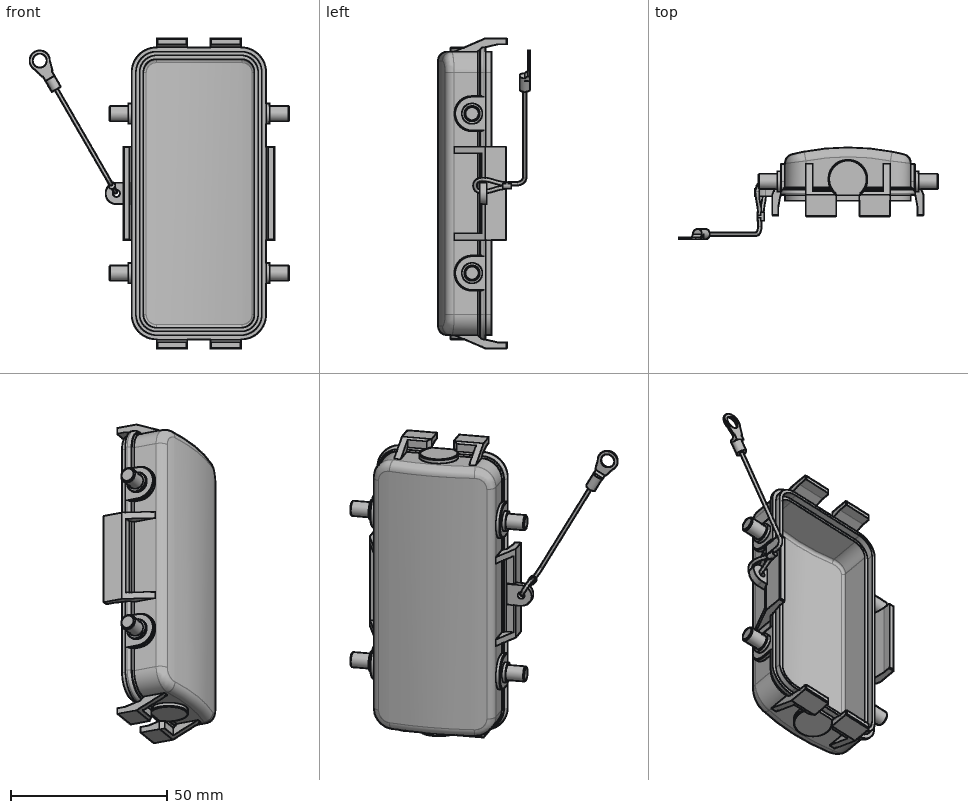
import cadquery as cq
import math

OVERLAP = 1.0

BODY_HALF_X = 20.1
BODY_HALF_Z = 45.3
CORNER_RADIUS = 6.6
CROWN_Y = 17.2
CROWN_RADIUS = 73.4
BACK_FILLET = 3.0
WALL = 2.4
POCKET_FILLET = 1.1
RIM_WALL = 1.2
SEAL_LEDGE_DEPTH = 2.2

FLANGE_OVERHANG = 1.4
FLANGE_FRONT_Y = 1.9
FLANGE_BACK_Y = 3.8
FLANGE_ROUND = 1.3
FLANGE_ROOT = 0.6
FLANGE_ROOT_CHAMFER = 0.5
FLANGE_HALF_X = BODY_HALF_X + FLANGE_OVERHANG
FLANGE_HALF_Z = BODY_HALF_Z + FLANGE_OVERHANG

PIN_Y = 6.2
PIN_Z = 25.5
PIN_RADIUS = 2.5
PIN_LEFT_X = -28.7
PIN_RIGHT_X = 29.0
PIN_CHAMFER = 0.4
COLLAR_RADIUS = 3.3
COLLAR_HALF_X = 22.6
SADDLE_RADIUS = 5.7
PAD_EDGE = 0.3

HOOK_TIP_THICKNESS = 2.0
HOOK_TIP_INNER_Y = -2.0
HOOK_SLOPE_START_Y = 2.0
HOOK_BACK_Y = 3.2
RIB_BACK_Y = 11.9
RIB_WIDTH = 2.2
HOOK_EDGE = 0.3
END_HOOK_TOP_Z = 49.6
END_HOOK_TIP_Y = -5.1
END_HOOK_INNER_X = 3.7
END_HOOK_OUTER_X = 13.5
SIDE_HOOK_TOP_X = 24.2
SIDE_HOOK_TIP_Y = -4.8
SIDE_HOOK_HALF_Z = 15.0
END_DISC_RADIUS = 6.2
END_DISC_Y = 6.9

LUG_X = -26.4
LUG_RADIUS = 3.5
LUG_HOLE_RADIUS = 1.1
LUG_FRONT_Y = 1.5
LUG_BACK_Y = 3.9

TETHER_ANGLE = 30.0
CABLE_RADIUS = 0.6
CABLE_Y = -10.6
CABLE_OFFSET = 3.6
CABLE_BEND = 2.5
LOOP_CENTER = 2.9
LOOP_RADIUS = 2.3
LOOP_Y = 3.1
CRIMP_RADIUS = 1.1
CRIMP_FRONT_Y = -6.3
CRIMP_BACK_Y = -3.6
RING_DISTANCE = 49.0
RING_RADIUS = 3.3
RING_HOLE_RADIUS = 2.2
TAG_THICKNESS = 0.7
TAG_NECK_WIDTH = 4.0
TAG_LENGTH = 4.8
BARREL_RADIUS = 1.7
BARREL_LENGTH = 5.1
BARREL_END = RING_DISTANCE - 5.6
BARREL_START = BARREL_END - BARREL_LENGTH


def rounded_block(half_x, half_z, radius, front_y, back_y):
    """Block with rounded corners in XZ, spanning front_y to back_y."""
    block = cq.Workplane("XZ", origin=(0, front_y, 0)).rect(2 * half_x, 2 * half_z)
    return block.extrude(front_y - back_y).edges("|Y").fillet(radius)


def crowned_block(half_x, half_z, radius, crown_y, crown_radius, back_fillet):
    """Rounded block from the rim plane to a back that is cylindrical about the Z direction."""
    block = rounded_block(half_x, half_z, radius, 0, crown_y + OVERLAP)
    crown = cq.Workplane("XY").center(0, crown_y - crown_radius).circle(crown_radius)
    block = block.intersect(crown.extrude(half_z + OVERLAP, both=True))
    return block.faces(">Y").edges().fillet(back_fillet)


def shell():
    """Solid crowned body with its flange."""
    body = crowned_block(BODY_HALF_X, BODY_HALF_Z, CORNER_RADIUS, CROWN_Y, CROWN_RADIUS, BACK_FILLET)
    flange = rounded_block(
        FLANGE_HALF_X, FLANGE_HALF_Z, CORNER_RADIUS + FLANGE_OVERHANG, FLANGE_FRONT_Y, FLANGE_BACK_Y
    )
    flange = flange.faces(">Y").edges().fillet(FLANGE_ROUND)
    root = rounded_block(
        BODY_HALF_X + FLANGE_ROOT,
        BODY_HALF_Z + FLANGE_ROOT,
        CORNER_RADIUS + FLANGE_ROOT,
        FLANGE_FRONT_Y,
        FLANGE_BACK_Y + FLANGE_ROOT,
    )
    root = root.faces(">Y").edges().chamfer(FLANGE_ROOT_CHAMFER)
    return body.union(flange).union(root)


def cavity():
    """Pocket that follows the shell, with a wider seal ledge at the rim."""
    pocket = crowned_block(
        BODY_HALF_X - WALL,
        BODY_HALF_Z - WALL,
        CORNER_RADIUS - WALL,
        CROWN_Y - WALL,
        CROWN_RADIUS - WALL,
        POCKET_FILLET,
    )
    ledge = rounded_block(
        BODY_HALF_X - RIM_WALL, BODY_HALF_Z - RIM_WALL, CORNER_RADIUS - RIM_WALL, 0, SEAL_LEDGE_DEPTH
    )
    return pocket.union(ledge)


def cylinder_x(radius, y, z, start_x, end_x):
    """Cylinder along X."""
    return cq.Workplane("YZ", origin=(start_x, y, z)).circle(radius).extrude(end_x - start_x)


def saddle(z, start_x, end_x):
    """U-shaped pad on a long side, round towards the back and open to the flange."""
    pad = (
        cq.Workplane("YZ", origin=(start_x, 0, z))
        .moveTo(FLANGE_FRONT_Y, -SADDLE_RADIUS)
        .lineTo(PIN_Y, -SADDLE_RADIUS)
        .threePointArc((PIN_Y + SADDLE_RADIUS, 0), (PIN_Y, SADDLE_RADIUS))
        .lineTo(FLANGE_FRONT_Y, SADDLE_RADIUS)
        .close()
        .extrude(end_x - start_x)
    )
    return pad.faces("<X" if end_x < 0 else ">X").edges().chamfer(PAD_EDGE)


def latch_pins():
    """Two levels of pins, each with a collar and a saddle on both sides."""
    pins = cq.Workplane("XY")
    for z in (-PIN_Z, PIN_Z):
        for side, end_x in ((-1, PIN_LEFT_X), (1, PIN_RIGHT_X)):
            wall_x = side * (BODY_HALF_X - OVERLAP)
            pin = cylinder_x(PIN_RADIUS, PIN_Y, z, wall_x, end_x)
            pin = pin.faces("<X" if side < 0 else ">X").chamfer(PIN_CHAMFER)
            collar = cylinder_x(COLLAR_RADIUS, PIN_Y, z, wall_x, side * COLLAR_HALF_X)
            pins = pins.union(saddle(z, wall_x, side * FLANGE_HALF_X)).union(collar).union(pin)
    return pins


def hook(flange_edge, top, tip_y, start, end, rib_spans):
    """Hook on the +X side, running from start to end in Z, with sloping ribs behind it."""
    root = flange_edge - 2 * FLANGE_OVERHANG
    wall = flange_edge - FLANGE_OVERHANG
    slope = (top - wall) / (RIB_BACK_Y - HOOK_SLOPE_START_Y)
    back_top = top - slope * (HOOK_BACK_Y - HOOK_SLOPE_START_Y)
    tip_inner = top - HOOK_TIP_THICKNESS
    plate = (
        cq.Workplane("XY", origin=(0, 0, start))
        .moveTo(root, FLANGE_FRONT_Y)
        .lineTo(flange_edge, FLANGE_FRONT_Y)
        .lineTo(tip_inner, HOOK_TIP_INNER_Y)
        .lineTo(tip_inner, tip_y)
        .lineTo(top, tip_y)
        .lineTo(top, HOOK_SLOPE_START_Y)
        .lineTo(back_top, HOOK_BACK_Y)
        .lineTo(root, HOOK_BACK_Y)
        .close()
        .extrude(end - start)
    )
    plate = plate.faces("<Y").edges(">X or |X").chamfer(HOOK_EDGE)
    for rib_start, rib_end in rib_spans:
        rib = (
            cq.Workplane("XY", origin=(0, 0, rib_start))
            .moveTo(root, FLANGE_FRONT_Y)
            .lineTo(top, HOOK_SLOPE_START_Y)
            .lineTo(wall, RIB_BACK_Y)
            .lineTo(root, RIB_BACK_Y)
            .close()
            .extrude(rib_end - rib_start)
        )
        plate = plate.union(rib)
    return plate


def side_hooks():
    """One wide ribbed hook on each long side."""
    half = SIDE_HOOK_HALF_Z
    ribs = ((-half, RIB_WIDTH - half), (half - RIB_WIDTH, half))
    right = hook(FLANGE_HALF_X, SIDE_HOOK_TOP_X, SIDE_HOOK_TIP_Y, -half, half, ribs)
    return right.union(right.mirror("YZ"))


def end_disc(bottom_z, top_z):
    """Round pad on the upper end wall, cut straight at the front of the flange."""
    half_chord = math.sqrt(END_DISC_RADIUS**2 - (END_DISC_Y - FLANGE_FRONT_Y) ** 2)
    return (
        cq.Workplane("XY", origin=(0, 0, bottom_z))
        .moveTo(-half_chord, FLANGE_FRONT_Y)
        .threePointArc((0, END_DISC_Y + END_DISC_RADIUS), (half_chord, FLANGE_FRONT_Y))
        .close()
        .extrude(top_z - bottom_z)
    )


def end_hooks():
    """Two ribbed hooks on each short side, relieved around a central disc."""
    ribs = ((END_HOOK_OUTER_X - RIB_WIDTH, END_HOOK_OUTER_X),)
    one = hook(
        FLANGE_HALF_Z, END_HOOK_TOP_Z, END_HOOK_TIP_Y, END_HOOK_INNER_X, END_HOOK_OUTER_X, ribs
    )
    one = one.rotate((0, 0, 0), (0, 1, 0), -90).mirror("YZ")
    pair = one.union(one.mirror("YZ"))
    pair = pair.cut(end_disc(0, END_HOOK_TOP_Z + OVERLAP))
    disc = end_disc(BODY_HALF_Z - OVERLAP, FLANGE_HALF_Z)
    pair = pair.union(disc.faces(">Z").edges().chamfer(PAD_EDGE))
    return pair.union(pair.mirror("XY"))


def lug():
    """Rounded lug on the left hook, pierced for the tether."""
    plate = cq.Workplane("XZ", origin=(LUG_X, LUG_FRONT_Y, 0)).circle(LUG_RADIUS)
    plate = plate.extrude(LUG_FRONT_Y - LUG_BACK_Y)
    reach = -FLANGE_HALF_X - LUG_X
    arm = cq.Workplane("XY").box(reach, LUG_BACK_Y - LUG_FRONT_Y, 2 * LUG_RADIUS)
    arm = arm.translate((LUG_X + reach / 2, (LUG_FRONT_Y + LUG_BACK_Y) / 2, 0))
    hole = cq.Workplane("XZ", origin=(LUG_X, LUG_BACK_Y, 0)).circle(LUG_HOLE_RADIUS)
    return plate.union(arm).cut(hole.extrude(LUG_BACK_Y - LUG_FRONT_Y))


def tether_plane(along=0, y=0):
    """Plane with local x along the tether and local y along Y."""
    angle = math.radians(TETHER_ANGLE)
    direction = (-math.sin(angle), 0, math.cos(angle))
    origin = (LUG_X + along * direction[0], y, along * direction[2])
    return cq.Plane(origin, xDir=direction, normal=(-math.cos(angle), 0, -math.sin(angle)))


def along_tether(plane):
    """Plane at the same origin, facing along the tether."""
    return cq.Plane(plane.origin, xDir=plane.zDir, normal=plane.xDir)


def along_y(plane):
    """Plane at the same origin, facing along Y."""
    return cq.Plane(plane.origin, xDir=plane.xDir, normal=(0, 1, 0))


def cable():
    """Cable from the barrel to the crimp, then a teardrop loop through the lug hole."""
    bend_mid = CABLE_BEND * (1 - math.sqrt(0.5))
    path = (
        cq.Workplane(tether_plane())
        .moveTo(BARREL_START + OVERLAP, CABLE_Y)
        .lineTo(CABLE_OFFSET + CABLE_BEND, CABLE_Y)
        .threePointArc(
            (CABLE_OFFSET + bend_mid, CABLE_Y + bend_mid),
            (CABLE_OFFSET, CABLE_Y + CABLE_BEND),
        )
        .lineTo(CABLE_OFFSET, CRIMP_FRONT_Y + OVERLAP)
    )
    start = along_tether(tether_plane(BARREL_START + OVERLAP, CABLE_Y))
    run = cq.Workplane(start).circle(CABLE_RADIUS).sweep(path)

    strand = CABLE_OFFSET - LOOP_CENTER
    loop_path = (
        cq.Workplane(tether_plane())
        .moveTo(LOOP_CENTER + strand, CRIMP_BACK_Y - OVERLAP)
        .spline(
            [(LOOP_CENTER + LOOP_RADIUS, LOOP_Y)],
            tangents=[(0, 1), (0, 1)],
            includeCurrent=True,
        )
        .threePointArc((LOOP_CENTER, LOOP_Y + LOOP_RADIUS), (LOOP_CENTER - LOOP_RADIUS, LOOP_Y))
        .spline(
            [(LOOP_CENTER - strand, CRIMP_BACK_Y - OVERLAP)],
            tangents=[(0, -1), (0, -1)],
            includeCurrent=True,
        )
    )
    start = along_y(tether_plane(LOOP_CENTER + strand, CRIMP_BACK_Y - OVERLAP))
    loop = cq.Workplane(start).circle(CABLE_RADIUS).sweep(loop_path)
    crimp = cq.Workplane(along_y(tether_plane(LOOP_CENTER, CRIMP_FRONT_Y))).circle(CRIMP_RADIUS)
    return run.union(crimp.extrude(CRIMP_BACK_Y - CRIMP_FRONT_Y)).union(loop)


def cable_terminal():
    """Crimp barrel, with a ramp down to a flat ring tag."""
    tag_y = CABLE_Y - BARREL_RADIUS
    barrel = cq.Workplane(along_tether(tether_plane(BARREL_START, CABLE_Y))).circle(BARREL_RADIUS)
    barrel = barrel.extrude(BARREL_LENGTH)
    ring_plane = along_y(tether_plane(RING_DISTANCE, tag_y))
    ring = cq.Workplane(ring_plane).circle(RING_RADIUS).extrude(TAG_THICKNESS)
    half_neck = TAG_NECK_WIDTH / 2
    neck = (
        cq.Workplane(ring_plane)
        .moveTo(-TAG_LENGTH, -half_neck)
        .lineTo(-TAG_LENGTH, half_neck)
        .lineTo(0, RING_RADIUS)
        .lineTo(0, -RING_RADIUS)
        .close()
        .extrude(TAG_THICKNESS)
    )
    hole = cq.Workplane(ring_plane).circle(RING_HOLE_RADIUS).extrude(TAG_THICKNESS)
    barrel_foot = BARREL_END - OVERLAP
    ramp = (
        cq.Workplane(tether_plane())
        .moveTo(barrel_foot, tag_y)
        .lineTo(RING_DISTANCE - TAG_LENGTH, tag_y)
        .lineTo(RING_DISTANCE - TAG_LENGTH, tag_y + TAG_THICKNESS)
        .lineTo(BARREL_END, CABLE_Y)
        .lineTo(barrel_foot, CABLE_Y)
        .close()
        .extrude(BARREL_RADIUS, both=True)
    )
    return barrel.union(ring).union(neck).union(ramp).cut(hole)


result = (
    shell()
    .union(latch_pins())
    .union(side_hooks())
    .union(end_hooks())
    .cut(cavity())
    .union(lug())
    .union(cable())
    .union(cable_terminal())
)